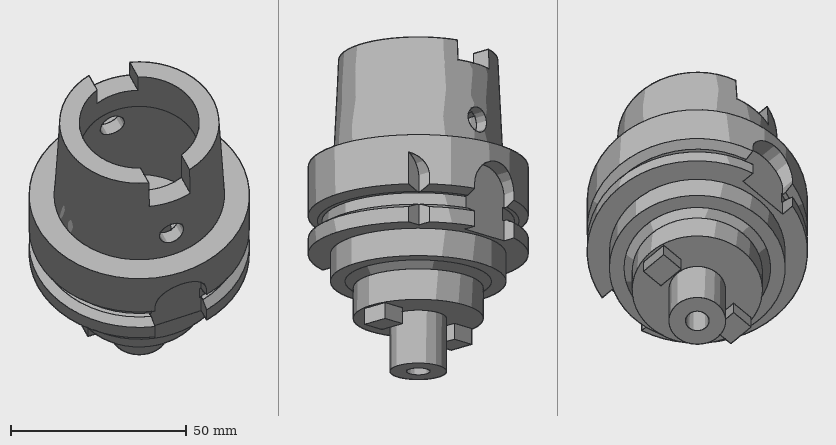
import cadquery as cq

total_height = 93.0
shoulder_z = 61.1
groove_top_z = 46.4
groove_floor_top_z = 44.9
groove_floor_bottom_z = 41.1
groove_bottom_z = 39.6
flange_bottom_z = 35.1
body_bottom_z = 26.9
collar_top_z = 24.9
collar_bottom_z = 15.8

taper_top_radius = 22.8
taper_base_radius = 24.4
flange_radius = 63.0 / 2
groove_floor_radius = 27.5
groove_flank_radius = 28.8
body_radius = 25.1
collar_radius = 18.6
collar_cone_radius = 20.9
stub_radius = 8.1

mouth_radius = 17.1
mouth_depth = 13.0
undercut_radius = 20.0
cavity_floor_z = 46.5
thread_radius = 9.0
thread_depth = 18.6
coolant_radius = 3.35

rim_slot_width = 12.65
shallow_rim_slot_depth = 5.95
deep_rim_slot_depth = 9.9

cross_hole_radius = 3.7
cross_hole_z = 70.1

slot_radius = 8.0
slot_center_z = 47.9
slot_floor_x = 26.5
notch_floor_x = 20.0
notch_wall_y = 20.1
notch_center_z = 48.9

key_width = 8.2
key_inner_y = 10.6
key_outer_y = 17.7
key_height = 4.7

overshoot = 0.9


def revolved_body():
    """Solid of revolution from the stub tip to the top of the taper."""
    profile = [
        (0, 0),
        (stub_radius, 0),
        (stub_radius, collar_bottom_z),
        (collar_radius, collar_bottom_z),
        (collar_radius, collar_top_z),
        (collar_cone_radius, body_bottom_z),
        (body_radius, body_bottom_z),
        (body_radius, flange_bottom_z),
        (flange_radius, flange_bottom_z),
        (flange_radius, groove_bottom_z),
        (groove_flank_radius, groove_floor_bottom_z),
        (groove_floor_radius, groove_floor_bottom_z),
        (groove_floor_radius, groove_floor_top_z),
        (groove_flank_radius, groove_floor_top_z),
        (flange_radius, groove_top_z),
        (flange_radius, shoulder_z),
        (taper_base_radius, shoulder_z),
        (taper_top_radius, total_height),
        (0, total_height),
    ]
    return cq.Workplane("XZ").polyline(profile).close().revolve(360, (0, 0), (0, 1))


def vertical_cylinder(radius, bottom_z, top_z):
    return cq.Workplane("XY").workplane(offset=bottom_z).circle(radius).extrude(top_z - bottom_z)


def internal_bores():
    """Mouth, wider undercut, threaded bore and coolant passage on the main axis."""
    undercut_top_z = total_height - mouth_depth
    mouth = vertical_cylinder(mouth_radius, undercut_top_z, total_height)
    undercut = vertical_cylinder(undercut_radius, cavity_floor_z, undercut_top_z)
    thread = vertical_cylinder(thread_radius, cavity_floor_z - thread_depth, cavity_floor_z)
    coolant = vertical_cylinder(coolant_radius, 0, cavity_floor_z)
    return mouth.union(undercut).union(thread).union(coolant)


def rim_slot(side, depth):
    """Slot through the taper rim on the side of X given by +1 or -1."""
    slot = cq.Workplane("XY").box(flange_radius, rim_slot_width, depth, centered=(False, True, False))
    if side < 0:
        slot = slot.mirror("YZ")
    return slot.translate((0, 0, total_height - depth))


def round_topped_cutter(floor_x, center_y, center_z):
    """Slot along +X from its flat floor outward, open at the bottom of the flange."""
    length = flange_radius - floor_x + overshoot
    height = center_z - flange_bottom_z
    return (
        cq.Workplane("YZ", origin=(floor_x, center_y, center_z))
        .moveTo(-slot_radius, -height)
        .lineTo(-slot_radius, 0)
        .threePointArc((0, slot_radius), (slot_radius, 0))
        .lineTo(slot_radius, -height)
        .close()
        .extrude(length)
    )


def drive_key(side):
    length = key_outer_y - key_inner_y
    center_y = side * (key_inner_y + key_outer_y) / 2
    key = cq.Workplane("XY").box(key_width, length, key_height, centered=(True, True, False))
    return key.translate((0, center_y, collar_bottom_z - key_height))


result = revolved_body().cut(internal_bores())

result = result.cut(rim_slot(-1, shallow_rim_slot_depth))
result = result.cut(rim_slot(1, deep_rim_slot_depth))

cross_hole = (
    cq.Workplane("YZ").center(0, cross_hole_z).circle(cross_hole_radius).extrude(flange_radius, both=True)
)
result = result.cut(cross_hole)

flange_slot = round_topped_cutter(slot_floor_x, 0, slot_center_z)
result = result.cut(flange_slot).cut(flange_slot.mirror("YZ"))

corner_notch = round_topped_cutter(notch_floor_x, notch_wall_y + slot_radius, notch_center_z)
result = result.cut(corner_notch.mirror("YZ"))

for side in (-1, 1):
    result = result.union(drive_key(side))